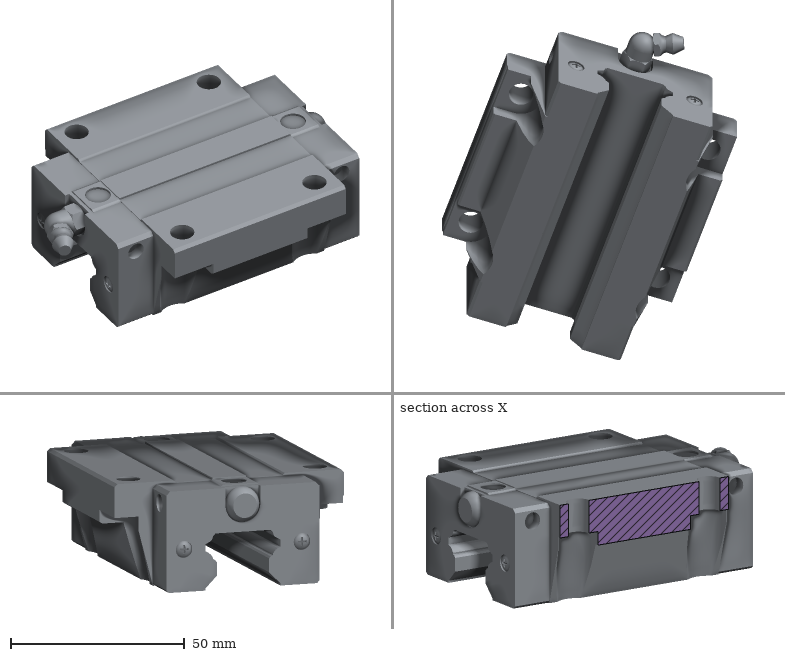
import cadquery as cq
import math

TOTAL_LENGTH = 96.11
OVERALL_HEIGHT = 30.5

FLANGE_WIDTH = 70.0
BLOCK_LENGTH = 58.2
FLANGE_BOTTOM_Z = 16.55
FLANGE_CHAMFER = 0.9
LOWER_CHAMFER = 0.6
DATUM_STEP_Z = 22.7
DATUM_STEP = 0.3
WALL_TOP_HALF = 27.7
WALL_BOTTOM_HALF = 23.3
RECESS_Z = 29.9
RECESS_OUTER_HALF = 17.0
RECESS_INNER_HALF = 16.4
RIB_HALF = 5.1

HOLE_PITCH_X = 57.0
HOLE_PITCH_Y = 45.0
HOLE_DIAMETER = 7.0
CLEARANCE_RADIUS = 6.5
CLEARANCE_TOP_Z = 20.6

CAPS_LENGTH = 82.0
CAP_WIDTH = 46.8
CAP_HEIGHT = 29.7
CAP_TOP_CHAMFER = 1.15
CAP_BOTTOM_CHAMFER = 0.8
SEAL_THICKNESS = 2.5
CAP_RIB_TOP_Z = 30.15
CAP_RIB_BASE_HALF = 5.95
TOP_PORT_DIAMETER = 7.4
TOP_PORT_Y = 33.2
TOP_PORT_DEPTH = 0.7
SIDE_PORT_DIAMETER = 5.2
SIDE_PORT_Y = 35.0
SIDE_PORT_Z = 25.4
SIDE_PORT_DEPTH = 3.4

RAIL_ROOF_Z = 16.55
RAIL_ROOF_HALF = 8.4
RAIL_WIDE_HALF = 11.45
RAIL_WIDE_TOP_Z = 13.55
RAIL_WIDE_BOTTOM_Z = 11.4
RAIL_NARROW_HALF = 8.0
RAIL_NARROW_TOP_Z = 8.2
RAIL_NARROW_BOTTOM_Z = 4.1
UPPER_RIDGE = ((9.2, 15.75), (9.55, 14.7), (10.4, 14.1))
LOWER_RIDGE = ((10.6, 11.05), (9.8, 10.4), (9.15, 9.5))
LEDGE_X, LEDGE_Z = 9.15, 9.05
LIP_X, LIP_Z = 8.5, 8.75

SCREW_X = 18.0
SCREW_Z = 12.5
SCREW_RADIUS = 2.5
SCREW_DOME_RADIUS = 4.2
SCREW_PROTRUSION = 0.3
SCREW_SEAT_DEPTH = 1.3
CROSS_LENGTH = 2.6
CROSS_WIDTH = 0.6
CROSS_DEPTH = 0.8

LUBE_Z = 24.5
NOTCH_RADIUS = 5.3
NOTCH_DEPTH = 1.4
PLUG_RADIUS = 5.15
PLUG_FACE_RADIUS = 3.6
PLUG_SHOULDER_RADIUS = 4.75
PLUG_SHOULDER_HEIGHT = 2.0
PLUG_END_Y = 42.85

ELBOW_HEX_FLATS = 8.0
ELBOW_HEX_LENGTH = 4.1
ELBOW_HEX_CHAMFER = 0.5
ELBOW_RADIUS = 3.95
NIPPLE_ANGLE = 22.5
NIPPLE_HEX_FLATS = 6.7
NIPPLE_HEX_START = 3.4
NIPPLE_HEX_END = 5.3
NIPPLE_HEX_CHAMFER = 0.45
NIPPLE_COLLAR_RADIUS = 3.3
NIPPLE_NECK_AT = 7.0
NIPPLE_NECK_RADIUS = 2.4
NIPPLE_NECK_SAG = 0.25
NIPPLE_HEAD_AT = 9.0
NIPPLE_HEAD_RADIUS = 3.15
NIPPLE_TIP_AT = 12.1
NIPPLE_TIP_RADIUS = 1.8

BLOCK_END = BLOCK_LENGTH / 2
CAP_END = CAPS_LENGTH / 2
NOTCH_FLOOR_Y = CAP_END - NOTCH_DEPTH
ELBOW_END_Y = PLUG_END_Y - TOTAL_LENGTH


def extrude_along_y(points, y_start, y_end):
    """Extrude a closed X-Z outline between two Y positions."""
    plane = cq.Workplane("XZ", origin=(0, y_start, 0))
    return plane.polyline(points).close().extrude(y_start - y_end)


def mirrored(right_half):
    """Complete an outline given by its +X half, listed from top to bottom."""
    return right_half + [(-x, z) for x, z in reversed(right_half)]


def box(x_range, y_range, z_range):
    size = [high - low for low, high in (x_range, y_range, z_range)]
    corner = (x_range[0], y_range[0], z_range[0])
    return cq.Workplane("XY").box(*size, centered=False).translate(corner)


def make_block():
    half = FLANGE_WIDTH / 2
    outline = mirrored([
        (RIB_HALF, OVERALL_HEIGHT),
        (RIB_HALF, RECESS_Z),
        (RECESS_INNER_HALF, RECESS_Z),
        (RECESS_OUTER_HALF, OVERALL_HEIGHT),
        (half - FLANGE_CHAMFER, OVERALL_HEIGHT),
        (half, OVERALL_HEIGHT - FLANGE_CHAMFER),
        (half, FLANGE_BOTTOM_Z + LOWER_CHAMFER),
        (half - FLANGE_CHAMFER, FLANGE_BOTTOM_Z),
        (WALL_TOP_HALF, FLANGE_BOTTOM_Z),
        (WALL_BOTTOM_HALF, 0),
    ])
    block = extrude_along_y(outline, -BLOCK_END, BLOCK_END)
    datum_relief = box((-half, -half + DATUM_STEP), (-BLOCK_END, BLOCK_END), (0, DATUM_STEP_Z))
    return block.cut(datum_relief)


def make_clearance(hole_x, hole_y):
    """Screw-head clearance at the +X +Y hole: round inward, open to the flange edge and block end."""
    round_end_y = hole_y + math.sqrt(CLEARANCE_RADIUS**2 - (hole_x - WALL_TOP_HALF)**2)
    return (
        cq.Workplane("XY")
        .moveTo(hole_x, hole_y - CLEARANCE_RADIUS)
        .threePointArc((hole_x - CLEARANCE_RADIUS, hole_y), (WALL_TOP_HALF, round_end_y))
        .lineTo(WALL_TOP_HALF, BLOCK_END)
        .lineTo(FLANGE_WIDTH / 2, BLOCK_END)
        .lineTo(FLANGE_WIDTH / 2, hole_y - CLEARANCE_RADIUS)
        .close()
        .extrude(CLEARANCE_TOP_Z)
    )


def cut_mounting_holes(block):
    hole_x = HOLE_PITCH_X / 2
    hole_y = HOLE_PITCH_Y / 2
    hole = cq.Workplane("XY").center(hole_x, hole_y).circle(HOLE_DIAMETER / 2).extrude(OVERALL_HEIGHT)
    right_tool = hole.union(make_clearance(hole_x, hole_y))
    for tool in (right_tool, right_tool.mirror("YZ")):
        block = block.cut(tool).cut(tool.mirror("XZ"))
    return block


def make_end_cap():
    """End cap at the +Y end of the block."""
    half = CAP_WIDTH / 2
    outline = mirrored([
        (half - CAP_TOP_CHAMFER, CAP_HEIGHT),
        (half, CAP_HEIGHT - CAP_TOP_CHAMFER),
        (half, CAP_BOTTOM_CHAMFER),
        (half - CAP_BOTTOM_CHAMFER, 0),
    ])
    cap = extrude_along_y(outline, BLOCK_END, CAP_END)
    rib_outline = mirrored([
        (RIB_HALF, CAP_RIB_TOP_Z),
        (CAP_RIB_BASE_HALF, CAP_HEIGHT),
    ])
    cap = cap.union(extrude_along_y(rib_outline, BLOCK_END, CAP_END - SEAL_THICKNESS))

    top_port = (
        cq.Workplane("XY", origin=(0, TOP_PORT_Y, CAP_RIB_TOP_Z - TOP_PORT_DEPTH))
        .circle(TOP_PORT_DIAMETER / 2)
        .extrude(TOP_PORT_DEPTH)
    )
    side_port = (
        cq.Workplane("YZ", origin=(-half, SIDE_PORT_Y, SIDE_PORT_Z))
        .circle(SIDE_PORT_DIAMETER / 2)
        .extrude(SIDE_PORT_DEPTH)
    )
    cap = cap.cut(top_port).cut(side_port).cut(side_port.mirror("YZ"))

    notch = (
        cq.Workplane("XZ", origin=(0, CAP_END, 0))
        .moveTo(-NOTCH_RADIUS, OVERALL_HEIGHT)
        .lineTo(-NOTCH_RADIUS, LUBE_Z)
        .threePointArc((0, LUBE_Z - NOTCH_RADIUS), (NOTCH_RADIUS, LUBE_Z))
        .lineTo(NOTCH_RADIUS, OVERALL_HEIGHT)
        .close()
        .extrude(NOTCH_DEPTH)
    )
    return cap.cut(notch)


def make_rail_passage():
    lead_in = RAIL_WIDE_HALF - RAIL_NARROW_HALF
    right_half = (
        cq.Workplane("XZ", origin=(0, CAP_END, 0))
        .moveTo(0, RAIL_ROOF_Z)
        .lineTo(RAIL_ROOF_HALF, RAIL_ROOF_Z)
        .lineTo(*UPPER_RIDGE[0])
        .threePointArc(*UPPER_RIDGE[1:])
        .lineTo(RAIL_WIDE_HALF, RAIL_WIDE_TOP_Z)
        .lineTo(RAIL_WIDE_HALF, RAIL_WIDE_BOTTOM_Z)
        .lineTo(*LOWER_RIDGE[0])
        .threePointArc(*LOWER_RIDGE[1:])
        .lineTo(LEDGE_X, LEDGE_Z)
        .lineTo(LIP_X, LIP_Z)
        .lineTo(RAIL_NARROW_HALF, RAIL_NARROW_TOP_Z)
        .lineTo(RAIL_NARROW_HALF, RAIL_NARROW_BOTTOM_Z)
        .lineTo(RAIL_WIDE_HALF, RAIL_NARROW_BOTTOM_Z - lead_in)
        .lineTo(RAIL_WIDE_HALF, 0)
        .lineTo(0, 0)
        .close()
        .extrude(CAPS_LENGTH)
    )
    return right_half.union(right_half.mirror("YZ"))


def add_screw(body, x):
    """Domed cross-head screw sunk in the +Y end face."""
    seat = (
        cq.Workplane("XZ", origin=(x, CAP_END, SCREW_Z))
        .circle(SCREW_RADIUS)
        .extrude(SCREW_SEAT_DEPTH)
    )
    apex_y = CAP_END + SCREW_PROTRUSION
    dome = cq.Workplane("XY").sphere(SCREW_DOME_RADIUS)
    dome = dome.translate((x, apex_y - SCREW_DOME_RADIUS, SCREW_Z))
    stem = (
        cq.Workplane("XZ", origin=(x, apex_y, SCREW_Z))
        .circle(SCREW_RADIUS)
        .extrude(SCREW_SEAT_DEPTH + SCREW_PROTRUSION)
    )
    cross = (
        cq.Workplane("XZ", origin=(x, apex_y, SCREW_Z))
        .rect(CROSS_LENGTH, CROSS_WIDTH)
        .extrude(CROSS_DEPTH)
    )
    upright = cross.rotate((x, 0, SCREW_Z), (x, 1, SCREW_Z), 90)
    head = dome.intersect(stem).cut(cross).cut(upright)
    return body.cut(seat).union(head)


def make_plug():
    """Domed plug in the notch of the +Y end."""
    height = PLUG_END_Y - NOTCH_FLOOR_Y
    plug = (
        cq.Workplane("XY")
        .lineTo(PLUG_RADIUS, 0)
        .threePointArc((PLUG_SHOULDER_RADIUS, PLUG_SHOULDER_HEIGHT), (PLUG_FACE_RADIUS, height))
        .lineTo(0, height)
        .close()
        .revolve(360, (0, 0), (0, 1))
    )
    return plug.translate((0, NOTCH_FLOOR_Y, LUBE_Z))


def make_hexagon(across_flats, length, chamfer):
    """Hexagon along +X from the origin, corners toward +-Y, its corners turned down at both ends."""
    corner_radius = across_flats / math.sqrt(3)
    prism = cq.Workplane("YZ").polygon(6, 2 * corner_radius).extrude(length)
    turned = cq.Workplane("YZ").circle(corner_radius).extrude(length)
    turned = turned.faces("<X or >X").chamfer(chamfer)
    return prism.intersect(turned)


def make_nipple():
    """Nipple along +X, measured from the centre of the elbow bend."""
    hexagon = make_hexagon(NIPPLE_HEX_FLATS, NIPPLE_HEX_END - NIPPLE_HEX_START, NIPPLE_HEX_CHAMFER)
    neck_middle = (
        (NIPPLE_HEX_END + NIPPLE_NECK_AT) / 2,
        (NIPPLE_COLLAR_RADIUS + NIPPLE_NECK_RADIUS) / 2 - NIPPLE_NECK_SAG,
    )
    nozzle = (
        cq.Workplane("XY")
        .lineTo(0, NIPPLE_NECK_RADIUS)
        .lineTo(NIPPLE_HEX_END, NIPPLE_NECK_RADIUS)
        .lineTo(NIPPLE_HEX_END, NIPPLE_COLLAR_RADIUS)
        .threePointArc(neck_middle, (NIPPLE_NECK_AT, NIPPLE_NECK_RADIUS))
        .lineTo(NIPPLE_HEAD_AT, NIPPLE_HEAD_RADIUS)
        .lineTo(NIPPLE_TIP_AT, NIPPLE_TIP_RADIUS)
        .lineTo(NIPPLE_TIP_AT, 0)
        .close()
        .revolve(360, (0, 0), (1, 0))
    )
    return nozzle.union(hexagon.translate((NIPPLE_HEX_START, 0, 0)))


def make_grease_elbow():
    """Grease elbow in the notch of the -Y end, with its nipple turned toward +X."""
    angle = math.radians(NIPPLE_ANGLE)
    head_reach = NIPPLE_HEAD_AT * math.sin(angle) + NIPPLE_HEAD_RADIUS * math.cos(angle)
    bend_y = ELBOW_END_Y + head_reach

    base = (
        make_hexagon(ELBOW_HEX_FLATS, ELBOW_HEX_LENGTH, ELBOW_HEX_CHAMFER)
        .rotate((0, 0, 0), (0, 0, 1), -90)
        .translate((0, -NOTCH_FLOOR_Y, LUBE_Z))
    )
    stem = (
        cq.Workplane("XZ", origin=(0, -NOTCH_FLOOR_Y, LUBE_Z))
        .circle(ELBOW_RADIUS)
        .extrude(-NOTCH_FLOOR_Y - bend_y)
    )
    ball = cq.Workplane("XY").sphere(ELBOW_RADIUS).translate((0, bend_y, LUBE_Z))
    nipple = (
        make_nipple()
        .rotate((0, 0, 0), (0, 0, 1), -NIPPLE_ANGLE)
        .translate((0, bend_y, LUBE_Z))
    )
    return base.union(stem).union(ball).union(nipple)


def make_carriage():
    end_cap = make_end_cap()
    for screw_x in (-SCREW_X, SCREW_X):
        end_cap = add_screw(end_cap, screw_x)
    body = cut_mounting_holes(make_block())
    body = body.union(end_cap).union(end_cap.mirror("XZ"))
    body = body.cut(make_rail_passage())
    return body.union(make_plug()).union(make_grease_elbow())


result = make_carriage()